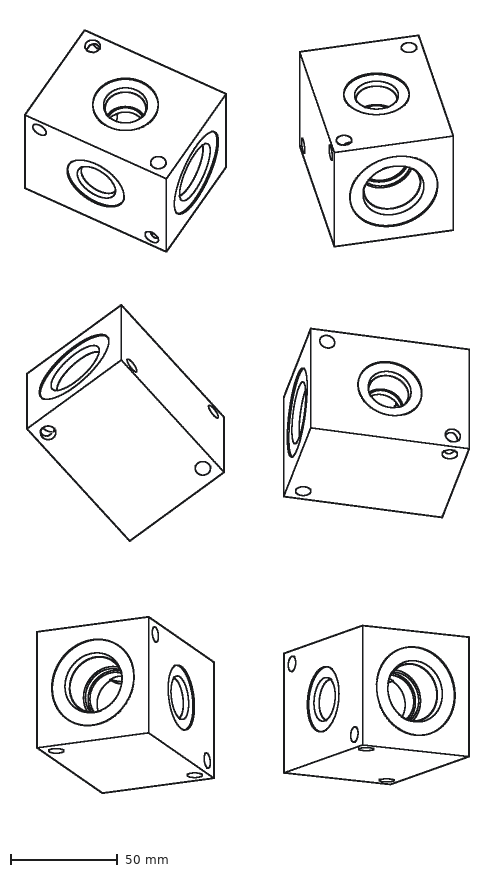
import cadquery as cq
import math

block_length = 76.2
block_side = 57.15

mount_hole_diameter = 7.2
mount_hole_offset_x = 30.2
mount_hole_offset_side = 22.2

drill_point_angle = 118.0
spotface_depth = 0.8
seat_half_angle = 15.0

small_spotface_diameter = 30.6
small_mouth_diameter = 20.6
small_seat_diameter = 19.3
small_thread_diameter = 19.05
small_thread_depth = 14.3
small_drill_diameter = 17.5
small_tip_distance = 5.65

large_spotface_diameter = 42.1
large_mouth_diameter = 29.2
large_seat_diameter = 27.4
large_thread_diameter = 27.0
large_thread_depth = 19.8
large_tap_drill_diameter = 24.9
large_tap_drill_depth = 22.85
large_drill_diameter = 23.0
large_tip_distance = 0.1


def port_cutter(half_width, spotface, mouth, seat, bores, drill, tip):
    """Port along +Z: open end at height half_width, cone tip at height tip.

    bores lists (diameter, depth below the face), from the mouth inward.
    """
    floor = half_width - spotface_depth
    seat_depth = (mouth - seat) / 2 / math.tan(math.radians(seat_half_angle))
    cone_height = drill / 2 / math.tan(math.radians(drill_point_angle / 2))

    profile = (
        cq.Workplane("XZ")
        .moveTo(0, half_width)
        .lineTo(spotface / 2, half_width)
        .lineTo(spotface / 2, floor)
        .lineTo(mouth / 2, floor)
        .lineTo(seat / 2, floor - seat_depth)
    )
    step_height = floor - seat_depth
    for diameter, depth in bores:
        profile = profile.lineTo(diameter / 2, step_height)
        step_height = half_width - depth
        profile = profile.lineTo(diameter / 2, step_height)
    return (
        profile.lineTo(drill / 2, step_height)
        .lineTo(drill / 2, tip + cone_height)
        .lineTo(0, tip)
        .close()
        .revolve(360, (0, 0, 0), (0, 1, 0))
    )


def mount_holes(plane):
    """Through holes normal to the plane, at opposite corners of the face."""
    corners = [
        (-mount_hole_offset_x, mount_hole_offset_side),
        (mount_hole_offset_x, -mount_hole_offset_side),
    ]
    return (
        cq.Workplane(plane)
        .pushPoints(corners)
        .circle(mount_hole_diameter / 2)
        .extrude(block_side / 2, both=True)
    )


small_port = port_cutter(
    block_side / 2,
    small_spotface_diameter,
    small_mouth_diameter,
    small_seat_diameter,
    [(small_thread_diameter, small_thread_depth)],
    small_drill_diameter,
    small_tip_distance,
)
large_port = port_cutter(
    block_length / 2,
    large_spotface_diameter,
    large_mouth_diameter,
    large_seat_diameter,
    [
        (large_thread_diameter, large_thread_depth),
        (large_tap_drill_diameter, large_tap_drill_depth),
    ],
    large_drill_diameter,
    large_tip_distance,
)

top_port = small_port
front_port = small_port.rotate((0, 0, 0), (1, 0, 0), 90)
left_port = large_port.rotate((0, 0, 0), (0, 1, 0), -90)
right_port = large_port.rotate((0, 0, 0), (0, 1, 0), 90)

result = cq.Workplane("XY").box(block_length, block_side, block_side)
for port in (left_port, right_port, front_port, top_port):
    result = result.cut(port)
for plane in ("XY", "XZ"):
    result = result.cut(mount_holes(plane))